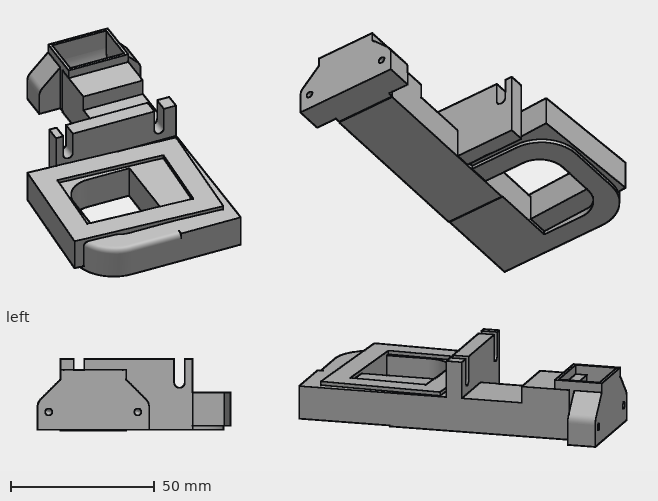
import cadquery as cq
import math


LENGTH = 110.0
ARM_WIDTH = 22.9
HALF_ARM = ARM_WIDTH / 2

HEAD_TOP = 20.9
HEAD_WALL = 1.1
HEAD_LENGTH = 17.0
CAVITY_ROUND = 12.4
FLANGE_WIDTH = 38.9
FLANGE_THICKNESS = 10.0
FLANGE_ROUND = 4.0
SCREW_DIAMETER = 2.4
SCREW_SPACING = 31.0
SCREW_HEIGHT = 6.3
SCREW_DEPTH = 5.5
DRILL_POINT_ANGLE = 118.0

ARM_START = 11.9
ARM_TOP = 11.8
STEP_END = 29.2
STEP_TOP = 17.6
PAD_END = 77.1
PAD_DEPTH = 0.3

PLATE_START = 50.8
PLATE_THICKNESS = 5.7
PLATE_TOP = 24.8
PLATE_LENGTH = 46.1
SLOT_WIDTH = 3.6
SLOT_BOTTOM = 14.7
SLOT_CENTRES = (5.0, -30.0)

HOLDER_LENGTH = 50.7
HOLDER_WIDTH = 56.9
HOLDER_CORNER = 15.0
HOLDER_EDGE_ROUND = 2.0
HOLDER_RIM = 7.9
OPENING_CORNER = 10.0

FRAME_LENGTH = 44.0
FRAME_WIDTH = 55.9
FRAME_RIM = 8.0
FRAME_BOTTOM = 1.4
FRAME_TOP = 13.1
FRAME_TILT = -3.0
FRAME_X = 79.6
FRAME_Y = -18.8


def block(x_range, y_range, z_range):
    """Box between the given limits on each axis."""
    (x0, x1), (y0, y1), (z0, z1) = x_range, y_range, z_range
    box = cq.Workplane("XY").box(x1 - x0, y1 - y0, z1 - z0, centered=False)
    return box.translate((x0, y0, z0))


def make_flange():
    """Mounting flange with sloped, rounded shoulders."""
    half = FLANGE_WIDTH / 2
    shoulder = STEP_TOP - (half - HALF_ARM)
    flange = (
        cq.Workplane("YZ")
        .polyline([
            (-half, 0),
            (half, 0),
            (half, shoulder),
            (HALF_ARM, STEP_TOP),
            (-HALF_ARM, STEP_TOP),
            (-half, shoulder),
        ])
        .close()
        .extrude(FLANGE_THICKNESS)
    )
    return flange.faces("<Y or >Y").edges("|X and >Z").fillet(FLANGE_ROUND)


def make_screw_hole(y):
    """Blind drilled hole along X with a conical end."""
    radius = SCREW_DIAMETER / 2
    point = radius / math.tan(math.radians(DRILL_POINT_ANGLE / 2))
    profile = (
        cq.Workplane("XY")
        .polyline([(0, 0), (0, radius), (SCREW_DEPTH, radius), (SCREW_DEPTH + point, 0)])
        .close()
    )
    return profile.revolve(360, (0, 0, 0), (1, 0, 0)).translate((0, y, SCREW_HEIGHT))


def make_cavity():
    """Open-topped hollow of the head, rounded along its outer floor edge."""
    inner = HALF_ARM - HEAD_WALL
    cavity = block((HEAD_WALL, HEAD_LENGTH - HEAD_WALL), (-inner, inner), (HEAD_WALL, HEAD_TOP))
    return cavity.edges("<X and <Z").fillet(CAVITY_ROUND)


def make_head(arm_blank):
    """Head body, cut away where the end of the arm plugs its cavity."""
    head = block((0, HEAD_LENGTH), (-HALF_ARM, HALF_ARM), (0, HEAD_TOP))
    head = head.union(make_flange()).cut(make_cavity()).cut(arm_blank)
    for side in (-1, 1):
        head = head.cut(make_screw_hole(side * SCREW_SPACING / 2))
    return head


def make_arm_blank():
    """Straight arm with a raised step at the head end and a shallow pad underneath."""
    return (
        cq.Workplane("XZ", origin=(0, HALF_ARM, 0))
        .polyline([
            (ARM_START, -PAD_DEPTH),
            (PAD_END, -PAD_DEPTH),
            (PAD_END, 0),
            (LENGTH, 0),
            (LENGTH, ARM_TOP),
            (STEP_END, ARM_TOP),
            (STEP_END, STEP_TOP),
            (ARM_START, STEP_TOP),
        ])
        .close()
        .extrude(ARM_WIDTH)
    )


def make_slotted_plate():
    """Upright plate with round-bottomed slots open at the top."""
    plate_end = PLATE_START + PLATE_THICKNESS
    plate = block((PLATE_START, plate_end), (HALF_ARM - PLATE_LENGTH, HALF_ARM), (0, PLATE_TOP))
    radius = SLOT_WIDTH / 2
    for y in SLOT_CENTRES:
        round_z = SLOT_BOTTOM + radius
        slot = block((PLATE_START, plate_end), (y - radius, y + radius), (round_z, PLATE_TOP))
        slot_round = (
            cq.Workplane("YZ", origin=(PLATE_START, y, round_z))
            .circle(radius)
            .extrude(PLATE_THICKNESS)
        )
        plate = plate.cut(slot).cut(slot_round)
    return plate


def make_holder():
    """Rounded rectangular ring with a rounded top edge."""
    centre = (LENGTH - HOLDER_LENGTH / 2, HALF_ARM - HOLDER_WIDTH / 2, 0)
    base = cq.Workplane("XY", origin=centre)
    outer = (
        base.rect(HOLDER_LENGTH, HOLDER_WIDTH)
        .extrude(ARM_TOP)
        .edges("|Z")
        .fillet(HOLDER_CORNER)
        .faces(">Z")
        .edges()
        .fillet(HOLDER_EDGE_ROUND)
    )
    opening = (
        base.rect(HOLDER_LENGTH - 2 * HOLDER_RIM, HOLDER_WIDTH - 2 * HOLDER_RIM)
        .extrude(ARM_TOP)
        .edges("|Z")
        .fillet(OPENING_CORNER)
    )
    return outer.cut(opening)


def make_frame_block(length, width):
    """Rectangular block in the tilted position of the frame."""
    return (
        cq.Workplane("XY")
        .rect(length, width)
        .extrude(FRAME_TOP - FRAME_BOTTOM)
        .rotate((0, 0, 0), (0, 0, 1), FRAME_TILT)
        .translate((FRAME_X, FRAME_Y, FRAME_BOTTOM))
    )


def make_frame():
    """Tilted rectangular frame."""
    outer = make_frame_block(FRAME_LENGTH, FRAME_WIDTH)
    window = make_frame_block(FRAME_LENGTH - 2 * FRAME_RIM, FRAME_WIDTH - 2 * FRAME_RIM)
    return outer.cut(window)


def make_arm(arm_blank, frame):
    """Arm body with plate and holder, recessed for the frame."""
    return arm_blank.union(make_holder()).union(make_slotted_plate()).cut(frame)


arm_blank = make_arm_blank()
head = make_head(arm_blank)
frame = make_frame()
arm = make_arm(arm_blank, frame)

result = cq.Compound.makeCompound([body.solids().val() for body in (head, arm, frame)])